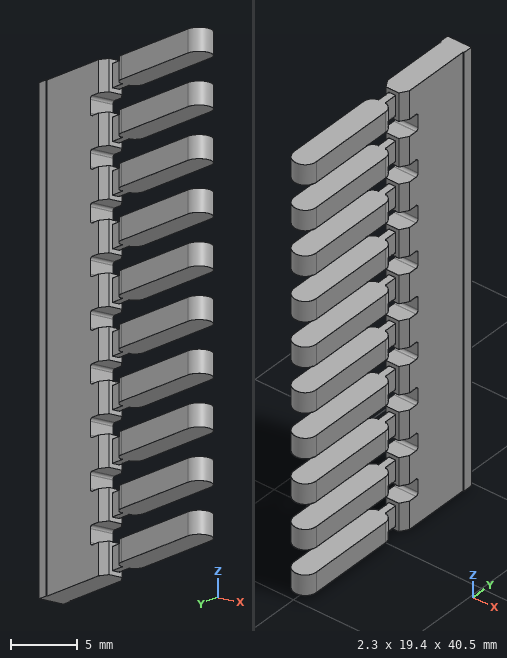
import cadquery as cq

comb_height = 40.5
comb_depth = 19.35
rim_thickness = 2.3
rim_depth = 0.9

body_thickness = 2.15
head_depth = 7.98
head_height = 2.65
head_chamfer_depth = 0.73
head_tip_thickness = 1.25
slot_depth = 6.25
slot_corner_radius = 0.25

tooth_count = 10
tooth_height = 1.9
neck_thickness = 0.65
blade_back = 9.2
blade_shoulder_radius = 0.9
tip_radius = body_thickness / 2

tooth_pitch = (comb_height - head_height) / (tooth_count - 1)
slot_height = tooth_pitch - head_height
back_y = comb_depth / 2
body_half = body_thickness / 2
head_end_y = back_y - head_depth


def make_rim():
    rim = cq.Workplane("XY").box(rim_thickness, rim_depth, comb_height)
    return rim.translate((0, back_y - rim_depth / 2, 0))


def make_spine():
    """Body plate whose front edge is chamfered on both faces."""
    chamfer_y = head_end_y + head_chamfer_depth
    head_tip_half = head_tip_thickness / 2
    outline = [
        (-body_half, back_y),
        (-body_half, chamfer_y),
        (-head_tip_half, head_end_y),
        (head_tip_half, head_end_y),
        (body_half, chamfer_y),
        (body_half, back_y),
    ]
    spine = cq.Workplane("XY").polyline(outline).close()
    return spine.extrude(comb_height / 2, both=True)


def make_slot(center_z):
    """Cutter for the gap between two heads, with rounded inner corners."""
    slot_bottom_y = back_y - slot_depth
    slot_length = comb_depth - slot_depth
    slot = cq.Workplane("XY").box(rim_thickness, slot_length, slot_height)
    slot = slot.faces(">Y").edges("|X").fillet(slot_corner_radius)
    return slot.translate((0, slot_bottom_y - slot_length / 2, center_z))


def make_tooth(center_z):
    """Neck and blade; the neck starts inside the head so the two fuse."""
    neck_start_y = head_end_y + head_chamfer_depth
    neck_length = neck_start_y - (back_y - blade_back) + blade_shoulder_radius
    neck = cq.Workplane("XY").box(neck_thickness, neck_length, tooth_height)
    neck = neck.translate((0, neck_start_y - neck_length / 2, 0))

    straight_length = comb_depth - blade_back - tip_radius
    blade = cq.Workplane("XY").box(body_thickness, straight_length, tooth_height)
    blade = blade.faces(">Y").edges("|Z").fillet(blade_shoulder_radius)
    blade = blade.translate((0, back_y - blade_back - straight_length / 2, 0))

    tip = cq.Workplane("XY").circle(tip_radius).extrude(tooth_height / 2, both=True)
    tip = tip.translate((0, tip_radius - back_y, 0))
    return neck.union(blade).union(tip).translate((0, 0, center_z))


result = make_rim().union(make_spine())

first_tooth_z = (head_height - comb_height) / 2
for index in range(tooth_count - 1):
    result = result.cut(make_slot(first_tooth_z + (index + 0.5) * tooth_pitch))
for index in range(tooth_count):
    result = result.union(make_tooth(first_tooth_z + index * tooth_pitch))